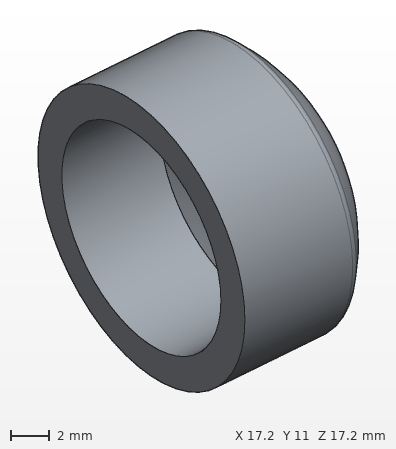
import cadquery as cq
import math

outer_radius = 8.6
total_length = 11.0
skirt_length = 7.05
edge_radius = 0.5
wall = 2.0
bore_radius = outer_radius - wall

edge_center_x = outer_radius - edge_radius
dome_rise = total_length - skirt_length
dome_radius = (edge_center_x**2 + dome_rise**2 - edge_radius**2) / (2 * (dome_rise - edge_radius))
dome_center_y = total_length - dome_radius

cavity_radius = dome_radius - wall
cavity_top = total_length - wall
bore_depth = dome_center_y + math.sqrt(cavity_radius**2 - bore_radius**2)


def point_on_circle(center, radius, angle):
    return (center[0] + radius * math.cos(angle), center[1] + radius * math.sin(angle))


tangent_angle = math.atan2(skirt_length - dome_center_y, edge_center_x)
dome_center = (0, dome_center_y)
edge_center = (edge_center_x, skirt_length)
dome_mid_angle = (tangent_angle + math.pi / 2) / 2
cavity_mid_angle = (math.acos(bore_radius / cavity_radius) + math.pi / 2) / 2

profile = (
    cq.Workplane("XY")
    .moveTo(bore_radius, 0)
    .lineTo(outer_radius, 0)
    .lineTo(outer_radius, skirt_length)
    .threePointArc(
        point_on_circle(edge_center, edge_radius, tangent_angle / 2),
        point_on_circle(edge_center, edge_radius, tangent_angle),
    )
    .threePointArc(
        point_on_circle(dome_center, dome_radius, dome_mid_angle),
        (0, total_length),
    )
    .lineTo(0, cavity_top)
    .threePointArc(
        point_on_circle(dome_center, cavity_radius, cavity_mid_angle),
        (bore_radius, bore_depth),
    )
    .close()
)

result = profile.revolve(360, (0, 0, 0), (0, 1, 0))